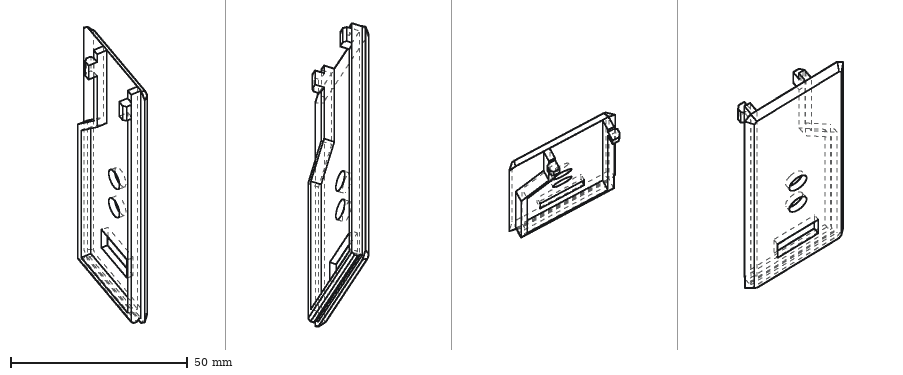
import cadquery as cq
import math

plate_width = 34.24
plate_height = 91.95
total_depth = 8.0
corner_cut = 2.0
bevel = 1.95
edge_land = 0.05
wall_inset = 2.16
wall_foot = 1.92
wall_thickness = 1.96
wall_depth = 3.2

jog_shift = 8.95
jog_below_top = 28.0

ridge_reach = 0.9
ridge_start = 0.6
ridge_flat = 1.0

hook_overhang = 0.85
hook_underside = 0.5
hook_tip_chamfer = 0.85
hook_length = 5.6
hook_below_top = 3.05

hole_diameter = 6.0
hole_spacing = 11.2
lower_hole_height = 33.0
window_width = 14.2
window_height = 7.2
window_bottom = 11.2

plate_thickness = bevel + edge_land
front_y = -plate_thickness
wall_y = front_y - wall_depth
tip_y = -total_depth
top_z = plate_height / 2
bottom_z = -top_z
wall_right = plate_width / 2 - wall_inset
wall_left = -wall_right
wall_bottom = bottom_z + wall_foot
jog_left = wall_left + jog_shift
jog_top = top_z - jog_below_top
jog_bottom = jog_top - jog_shift


def make_plate():
    """Octagonal plate with a straight front edge and a bevel up to its back face."""
    plate = (
        cq.Workplane("XZ")
        .rect(plate_width, plate_height)
        .extrude(plate_thickness)
        .edges("|Y")
        .chamfer(corner_cut)
    )
    return plate.faces(">Y").chamfer(bevel)


def make_wall():
    """Wall along the left, bottom and right of the plate, open at the top."""
    jog_drop = wall_thickness * math.tan(math.radians(45 / 2))
    inner_left = wall_left + wall_thickness
    inner_right = wall_right - wall_thickness
    inner_bottom = wall_bottom + wall_thickness
    outline = [
        (wall_left, wall_bottom),
        (wall_right, wall_bottom),
        (wall_right, top_z),
        (inner_right, top_z),
        (inner_right, inner_bottom),
        (inner_left, inner_bottom),
        (inner_left, jog_bottom - jog_drop),
        (jog_left + wall_thickness, jog_top - jog_drop),
        (jog_left + wall_thickness, top_z),
        (jog_left, top_z),
        (jog_left, jog_top),
        (wall_left, jog_bottom),
    ]
    return cq.Workplane("XZ", origin=(0, front_y, 0)).polyline(outline).close().extrude(wall_depth)


def make_ridge():
    """Snap ridge along the underside of the bottom wall, sloped on both sides."""
    slope_depth = (wall_depth - ridge_start - ridge_flat) / 2
    root_y = front_y - ridge_start
    crest_y = root_y - slope_depth
    crest_z = wall_bottom - ridge_reach
    inner_bottom = wall_bottom + wall_thickness
    profile = [
        (root_y, inner_bottom),
        (root_y, wall_bottom),
        (crest_y, crest_z),
        (crest_y - ridge_flat, crest_z),
        (wall_y, wall_bottom),
        (wall_y, inner_bottom),
    ]
    ridge = cq.Workplane("YZ", origin=(wall_left, 0, 0)).polyline(profile).close()
    return ridge.extrude(wall_right - wall_left)


def make_hook(outer_x, outward):
    """Snap hook on a wall's front face; outward is +1 or -1 along X."""
    inner_x = outer_x - outward * wall_thickness
    tip_x = outer_x + outward * hook_overhang
    profile = [
        (inner_x, wall_y),
        (outer_x, wall_y),
        (tip_x, wall_y - hook_underside),
        (tip_x, tip_y + hook_tip_chamfer),
        (tip_x - outward * hook_tip_chamfer, tip_y),
        (inner_x, tip_y),
    ]
    hook_bottom = top_z - hook_below_top - hook_length
    return cq.Workplane("XY", origin=(0, 0, hook_bottom)).polyline(profile).close().extrude(hook_length)


def make_openings():
    """Two round holes and a rectangular window, all through the plate."""
    lower_hole = bottom_z + lower_hole_height
    window_centre = bottom_z + window_bottom + window_height / 2
    holes = (
        cq.Workplane("XZ")
        .pushPoints([(0, lower_hole), (0, lower_hole + hole_spacing)])
        .circle(hole_diameter / 2)
        .extrude(plate_thickness)
    )
    window = cq.Workplane("XZ").center(0, window_centre).rect(window_width, window_height)
    return holes.union(window.extrude(plate_thickness))


result = make_plate().union(make_wall()).union(make_ridge())
for hook_x, hook_direction in [(jog_left, -1), (wall_right, 1)]:
    result = result.union(make_hook(hook_x, hook_direction))
result = result.cut(make_openings())